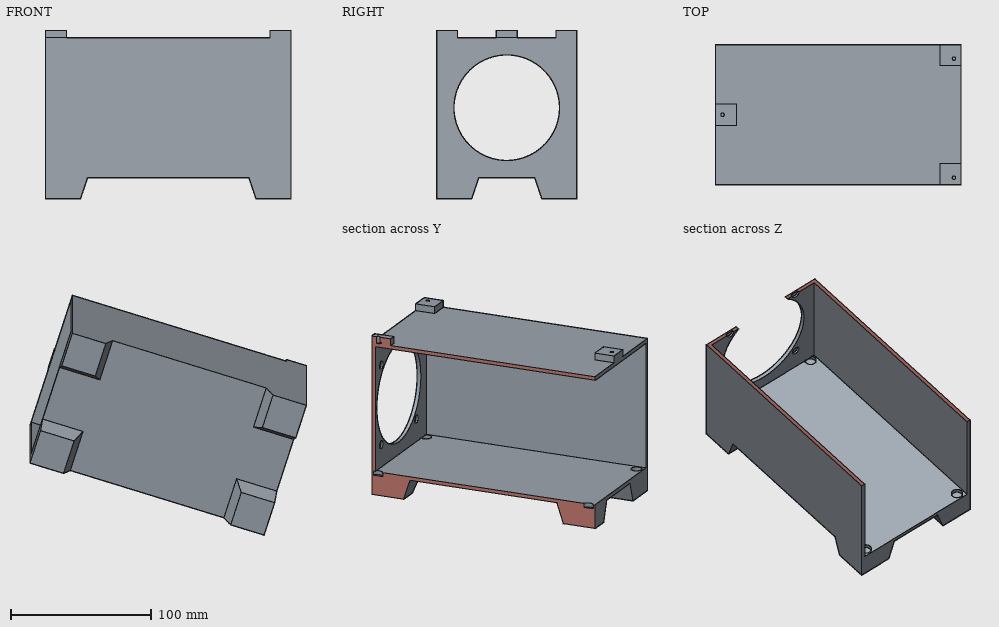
import cadquery as cq

length = 175.0
width = 100.0
height = 120.0

wall = 3.0
pad_height = 5.0
tube_top = height - pad_height
tube_bottom = tube_top - width
axis_height = tube_top - width / 2
cavity_floor = tube_bottom + wall
cavity_width = width - 2 * wall
cavity_length = length - wall

gap_height = tube_bottom
foot_base = 25.0
foot_taper = 5.0

foot_pocket_diameter = 8.0
foot_pocket_depth = 3.0
foot_pocket_end_inset = 5.0
foot_pocket_side_inset = 8.0

opening_diameter = 75.0
end_pocket_diameter = 5.8
end_pocket_spacing = 60.0
end_pocket_depth = wall / 2

pad_size = 15.0
pad_hole_diameter = 2.5
pad_hole_depth = pad_height
pad_hole_inset = 5.0
back_hole_inset = 10.0


def foot_gap(plane, span, through):
    """Tapered gap between two feet, centred on the part and cut right through it."""
    half_bottom = span / 2 - foot_base
    half_top = half_bottom - foot_taper
    return (
        cq.Workplane(plane)
        .polyline([
            (-half_bottom, 0),
            (half_bottom, 0),
            (half_top, gap_height),
            (-half_top, gap_height),
        ])
        .close()
        .extrude(through / 2, both=True)
    )


def mounting_pad(x, y):
    """Square pad on the tube, centred at x, y."""
    return (
        cq.Workplane("XY")
        .box(pad_size, pad_size, pad_height, centered=(True, True, False))
        .translate((x, y, tube_top))
    )


body = cq.Workplane("XY").box(length, width, tube_top, centered=(True, True, False))
cavity = (
    cq.Workplane("YZ", origin=(-length / 2, 0, axis_height))
    .rect(cavity_width, cavity_width)
    .extrude(cavity_length)
)
body = body.cut(cavity)
body = body.cut(foot_gap("XZ", length, width))
body = body.cut(foot_gap("YZ", width, length))

foot_pockets = (
    cq.Workplane("XY", origin=(0, 0, cavity_floor - foot_pocket_depth))
    .rect(
        length - 2 * foot_pocket_end_inset,
        width - 2 * foot_pocket_side_inset,
        forConstruction=True,
    )
    .vertices()
    .circle(foot_pocket_diameter / 2)
    .extrude(foot_pocket_depth)
)
body = body.cut(foot_pockets)

end_wall = cq.Workplane("YZ", origin=(length / 2 - wall, 0, axis_height))
opening = end_wall.circle(opening_diameter / 2).extrude(wall)
end_pockets = (
    end_wall.rect(end_pocket_spacing, end_pocket_spacing, forConstruction=True)
    .vertices()
    .circle(end_pocket_diameter / 2)
    .extrude(end_pocket_depth)
)
body = body.cut(opening).cut(end_pockets)

pad_x = (length - pad_size) / 2
pad_y = (width - pad_size) / 2
for x, y in [(-pad_x, 0), (pad_x, -pad_y), (pad_x, pad_y)]:
    body = body.union(mounting_pad(x, y))

hole_x = length / 2 - pad_hole_inset
pad_holes = (
    cq.Workplane("XY", origin=(0, 0, height - pad_hole_depth))
    .pushPoints([
        (-hole_x, 0),
        (hole_x, pad_hole_inset - width / 2),
        (hole_x, width / 2 - back_hole_inset),
    ])
    .circle(pad_hole_diameter / 2)
    .extrude(pad_hole_depth)
)
result = body.cut(pad_holes)